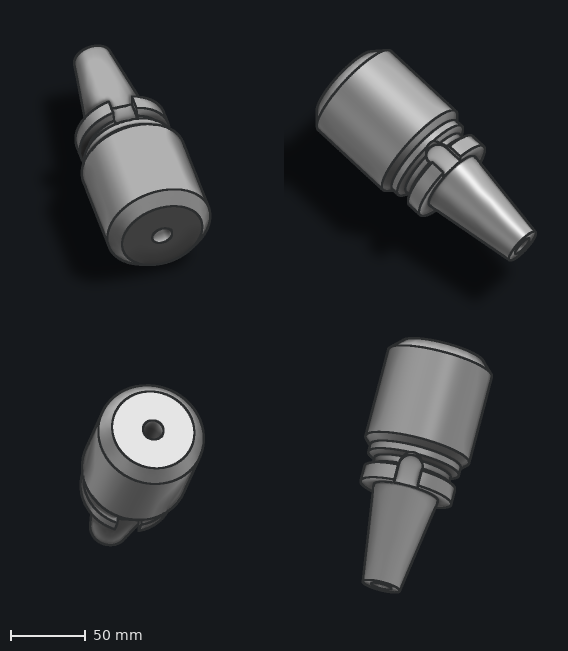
import cadquery as cq

total_length = 166.4
bore_diameter = 14.0

taper_length = 65.4
taper_small_radius = 12.9
taper_large_radius = 22.3

flange_start = 66.4
flange_radius = 31.5
flange_rim_end = 77.0
groove_start = 79.5
groove_end = 84.4
groove_radius = 26.5
collar_start = 87.0
collar_end = 92.4

body_start = 97.0
body_radius = 72.0 / 2
end_chamfer = 8.0

slot_width = 16.1
slot_end = 87.5
slot_floor = 22.6


def holder_body():
    """Solid of revolution: taper, flange, groove, collar and body."""
    profile = [
        (0, 0),
        (0, taper_small_radius),
        (taper_length, taper_large_radius),
        (flange_start, taper_large_radius),
        (flange_start, flange_radius),
        (flange_rim_end, flange_radius),
        (groove_start, groove_radius),
        (groove_end, groove_radius),
        (collar_start, flange_radius),
        (collar_end, flange_radius),
        (body_start, body_radius),
        (total_length - end_chamfer, body_radius),
        (total_length, body_radius - end_chamfer),
        (total_length, 0),
    ]
    return cq.Workplane("XY").polyline(profile).close().revolve(360, (0, 0, 0), (1, 0, 0))


def drive_slot():
    """Round-ended slot cutter on the +Z side, open at the flange face."""
    half_width = slot_width / 2
    arc_start = slot_end - half_width
    return (
        cq.Workplane("XY", origin=(0, 0, slot_floor))
        .moveTo(flange_start, -half_width)
        .lineTo(arc_start, -half_width)
        .threePointArc((slot_end, 0), (arc_start, half_width))
        .lineTo(flange_start, half_width)
        .close()
        .extrude(body_radius - slot_floor)
    )


through_bore = cq.Workplane("YZ").circle(bore_diameter / 2).extrude(total_length)

result = holder_body().cut(through_bore)
for angle in (0, 180):
    result = result.cut(drive_slot().rotate((0, 0, 0), (1, 0, 0), angle))